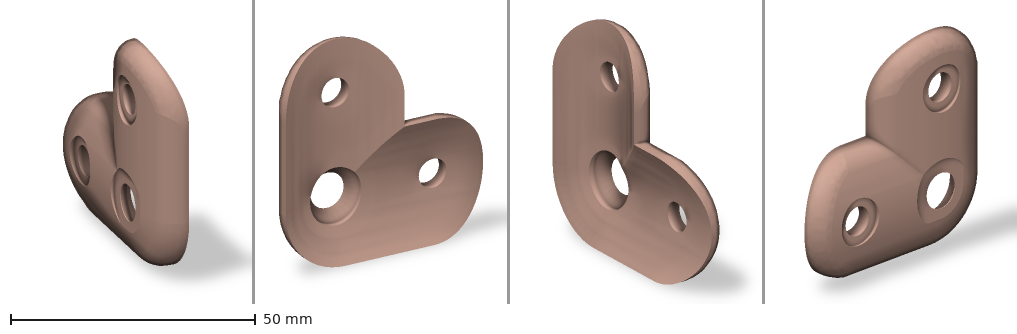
import cadquery as cq
import math

overall_size = 49.0
arm_half_width = 14.0
arm_length = overall_size - 2 * arm_half_width

inner_radius = 25.05
shell_thickness = 3.95
outer_radius = inner_radius + shell_thickness
arch_axis_y = math.sqrt(inner_radius**2 - arm_half_width**2)
crown_y = arch_axis_y - outer_radius

front_margin = 0.5

side_fillet = 5.0
end_fillet = 4.0

end_hole_distance = 23.0
end_hole_diameter = 6.45
end_recess_diameter = 10.5
end_recess_depth = 1.0
corner_hole_diameter = 7.95
corner_recess_diameter = 14.5
corner_recess_depth = 0.7

seat_diameter = 12.55
seat_lip_thickness = 0.2


def outer_half_section():
    """Half of the filleted outer section, in XY, from the arm centreline to its side wall."""
    fillet_centre_x = arm_half_width - side_fillet
    centre_distance = outer_radius - side_fillet
    fillet_angle = math.asin(fillet_centre_x / centre_distance)
    fillet_centre_y = arch_axis_y - centre_distance * math.cos(fillet_angle)

    def crown_point(angle):
        return (outer_radius * math.sin(angle), arch_axis_y - outer_radius * math.cos(angle))

    mid_angle = (fillet_angle + math.pi / 2) / 2
    fillet_middle = (
        fillet_centre_x + side_fillet * math.sin(mid_angle),
        fillet_centre_y - side_fillet * math.cos(mid_angle),
    )
    return (
        cq.Workplane("XY")
        .moveTo(0, 0)
        .lineTo(0, crown_y)
        .threePointArc(crown_point(fillet_angle / 2), crown_point(fillet_angle))
        .threePointArc(fillet_middle, (arm_half_width, fillet_centre_y))
        .lineTo(arm_half_width, 0)
        .close()
    )


def inner_half_section():
    """Half of the hollow under the arch."""
    half_angle = math.asin(arm_half_width / inner_radius) / 2
    middle = (
        inner_radius * math.sin(half_angle),
        arch_axis_y - inner_radius * math.cos(half_angle),
    )
    return (
        cq.Workplane("XY")
        .moveTo(0, 0)
        .lineTo(0, arch_axis_y - inner_radius)
        .threePointArc(middle, (arm_half_width, 0))
        .close()
    )


def straight_bar(half_section, length):
    """Full-width bar along +Z starting at the corner axis."""
    half = half_section.extrude(length)
    return half.union(half.mirror("YZ"))


def turned_to_minus_x(body):
    """Turn an arm along +Z into the matching arm along -X."""
    return body.rotate((0, 0, 0), (0, 1, 0), -90)


def with_both_arms(arm, half_section):
    """Join both arms with the section revolved about the corner axis."""
    corner = half_section.revolve(360, (0, 0), (0, 1))
    return corner.union(arm).union(turned_to_minus_x(arm))


def rounded_end_arm():
    """Outer arm with a semicircular end whose front edge has its own fillet."""
    reach = arm_length + arm_half_width
    outline = (
        cq.Workplane("XZ")
        .moveTo(-arm_half_width, 0)
        .lineTo(-arm_half_width, arm_length)
        .threePointArc((0, reach), (arm_half_width, arm_length))
        .lineTo(arm_half_width, 0)
        .close()
        .extrude(-crown_y + front_margin)
    )
    arch = cq.Workplane("XY").center(0, arch_axis_y).circle(outer_radius).extrude(reach)
    tip = (0, crown_y, reach)
    end_rounded = outline.intersect(arch)
    end_edge = end_rounded.edges(cq.selectors.NearestToPointSelector(tip))
    end_rounded = end_edge.fillet(end_fillet)
    return end_rounded.intersect(straight_bar(outer_half_section(), reach))


def recessed_hole(x, z, hole_diameter, recess_diameter, recess_depth):
    """Cutter for a through hole with a flat recess, its depth measured from the crown."""
    front = cq.Workplane("XZ", origin=(x, crown_y, z))
    hole = front.circle(hole_diameter / 2).extrude(crown_y)
    recess = front.circle(recess_diameter / 2).extrude(-recess_depth)
    return hole.union(recess)


def bolt_head_seat():
    """Cutter behind the corner hole, leaving a thin lip under the front recess."""
    seat_radius = seat_diameter / 2
    hole_radius = corner_hole_diameter / 2
    lip_y = crown_y + corner_recess_depth + seat_lip_thickness
    cone_end_y = lip_y + seat_radius - hole_radius
    return (
        cq.Workplane("XY")
        .moveTo(0, lip_y)
        .lineTo(hole_radius, lip_y)
        .lineTo(seat_radius, cone_end_y)
        .lineTo(seat_radius, 0)
        .lineTo(0, 0)
        .close()
        .revolve(360, (0, 0), (0, 1))
    )


outer = with_both_arms(rounded_end_arm(), outer_half_section())
hollow_reach = arm_length + 2 * arm_half_width
hollow = with_both_arms(straight_bar(inner_half_section(), hollow_reach), inner_half_section())
result = outer.cut(hollow)

result = result.cut(
    recessed_hole(0, 0, corner_hole_diameter, corner_recess_diameter, corner_recess_depth)
)
for x, z in [(-end_hole_distance, 0), (0, end_hole_distance)]:
    result = result.cut(
        recessed_hole(x, z, end_hole_diameter, end_recess_diameter, end_recess_depth)
    )
result = result.cut(bolt_head_seat())